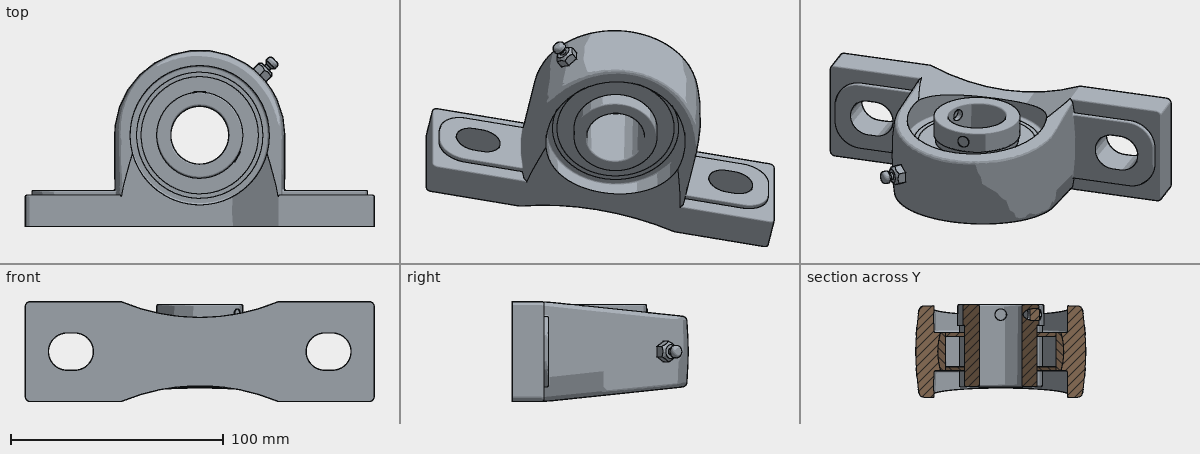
import cadquery as cq
import math


base_length = 164.0
base_depth = 47.0
base_bottom = -43.0
base_height = 15.0
base_top = base_bottom + base_height
base_corner_radius = 2.5
base_edge_radius = 1.0

slot_spacing = 121.0
slot_length = 21.0
slot_width = 17.4
pad_end = 78.9
pad_depth = 33.1
pad_height = 2.1
pad_corner_radius = 12.5
pad_edge_radius = 0.8
pad_blend_radius = 0.7

arch_radius = 40.0
crown_radius = 128.0
arch_taper_angle = 6.0
arch_edge_radius = 2.5
arch_sink = 1.6

waist_radius = 95.1
waist_half_depth = 16.0
waist_mouth_radius = 2.6

recess_diameter = 65.5
recess_corner_radius = 1.0

outer_ring_diameter = 62.0
outer_ring_width = 18.0
seal_outer_diameter = 55.1
seal_thickness = 2.0
collar_diameter = 40.5
inner_ring_neck_diameter = 39.0
bore_diameter = 27.0
inner_ring_top = 22.1
inner_ring_bottom = -16.5
collar_height = 9.8
inner_ring_edge_radius = 0.8
bore_edge_radius = 1.0

screw_diameter = 5.4
screw_height = 17.4
screw_angles = (-30.0, 90.0)
screw_inner_radius = 16.4
screw_outer_radius = 20.5

nipple_angle = 45.0
nipple_foot = 39.0
hex_shoulder = 43.0
hex_end = 44.6
head_start = 45.8
head_waist = 47.0
head_shoulder = 48.4
head_end = 49.9
hex_width = 8.5
neck_diameter = 3.3
head_diameter = 5.9
tip_diameter = 3.0

half_depth = base_depth / 2
pad_top = base_top + pad_height
floor_height = outer_ring_width / 2


def make_foot():
    foot = (
        cq.Workplane("XY")
        .box(base_length, base_height, base_depth)
        .translate((0, base_bottom + base_height / 2, 0))
    )
    foot = foot.edges("|Y").fillet(base_corner_radius)
    return foot.faces(">Y").edges().fillet(base_edge_radius)


def make_pad(side):
    pad = (
        cq.Workplane("XY")
        .box(pad_end, pad_top - base_bottom, pad_depth)
        .translate((side * pad_end / 2, (pad_top + base_bottom) / 2, 0))
    )
    outer_end = ">X" if side > 0 else "<X"
    pad = pad.faces(outer_end).edges("|Y").fillet(pad_corner_radius)
    return pad.faces(">Y").edges().fillet(pad_edge_radius)


def make_slots():
    """Cutters for the two bolt slots, right through the foot and the pads."""
    return (
        cq.Workplane("XZ", origin=(0, base_bottom, 0))
        .pushPoints([(-slot_spacing / 2, 0), (slot_spacing / 2, 0)])
        .slot2D(slot_length, slot_width)
        .extrude(base_bottom)
    )


def make_arch():
    """Crowned wall, round above the bearing centre and straight below, tapering in depth upwards."""
    arch_bottom = base_top - arch_sink
    reach = half_depth + arch_sink
    crown_edge = arch_radius - crown_radius + math.sqrt(crown_radius**2 - reach**2)

    def half_section():
        return (
            cq.Workplane("XZ")
            .moveTo(0, -reach)
            .lineTo(crown_edge, -reach)
            .threePointArc((arch_radius, 0), (crown_edge, reach))
            .lineTo(0, reach)
            .close()
        )

    leg = half_section().extrude(-arch_bottom)
    legs = leg.union(leg.mirror("YZ"))
    dome = half_section().revolve(180, (0, 0, 0), (0, 1, 0))

    slope = math.tan(math.radians(arch_taper_angle))
    lower_half = half_depth + slope * arch_sink
    upper_half = half_depth - slope * (arch_radius + arch_sink - base_top)
    arch_top = arch_radius + arch_sink
    wedge = (
        cq.Workplane("YZ", origin=(-base_length / 2, 0, 0))
        .polyline(
            [
                (arch_bottom, -lower_half),
                (arch_top, -upper_half),
                (arch_top, upper_half),
                (arch_bottom, lower_half),
            ]
        )
        .close()
        .extrude(base_length)
    )
    arch = legs.union(dome).intersect(wedge)
    arch = arch.faces(">Z or <Z").edges("not <Y").fillet(arch_edge_radius)
    return arch.intersect(cq.Workplane("XY").box(base_length, base_length, base_depth))


def make_waist():
    """Cutter for one side: a shallow cylinder along Y with its mouth rounded over."""
    axis_height = waist_half_depth + waist_radius
    mouth_center_z = half_depth - waist_mouth_radius
    center_distance = waist_radius + waist_mouth_radius
    drop = axis_height - mouth_center_z
    mouth_center_x = math.sqrt(center_distance**2 - drop**2)

    blend_x = mouth_center_x * waist_radius / center_distance
    blend_z = axis_height - drop * waist_radius / center_distance
    lean = math.atan2(mouth_center_x, drop) / 2
    middle_x = mouth_center_x - waist_mouth_radius * math.sin(lean)
    middle_z = mouth_center_z + waist_mouth_radius * math.cos(lean)
    return (
        cq.Workplane("XZ")
        .moveTo(-mouth_center_x, half_depth)
        .threePointArc((-middle_x, middle_z), (-blend_x, blend_z))
        .threePointArc((0, waist_half_depth), (blend_x, blend_z))
        .threePointArc((middle_x, middle_z), (mouth_center_x, half_depth))
        .lineTo(mouth_center_x, base_depth)
        .lineTo(-mouth_center_x, base_depth)
        .close()
        .extrude(-base_bottom)
    )


def make_recess():
    """Cutter above the bearing floor, with a rounded corner at its foot."""
    return (
        cq.Workplane("XY", origin=(0, 0, floor_height))
        .circle(recess_diameter / 2)
        .extrude(base_depth)
        .faces("<Z")
        .edges()
        .fillet(recess_corner_radius)
    )


def blend_pads(housing):
    """Round the inside corners where the pad tops run into the arch wall."""
    zone_half_length = arch_radius + pad_blend_radius
    corner_zone = cq.selectors.BoxSelector(
        (-zone_half_length, pad_top - pad_blend_radius / 2, -pad_depth / 2),
        (zone_half_length, pad_top + pad_blend_radius / 2, pad_depth / 2),
    )
    return housing.edges(corner_zone).fillet(pad_blend_radius)


def make_housing(nipple):
    housing = make_foot().union(make_arch())
    for side in (-1, 1):
        housing = housing.union(make_pad(side))
    housing = blend_pads(housing)
    housing = housing.cut(make_slots())
    for cutter in (make_waist(), make_recess()):
        housing = housing.cut(cutter).cut(cutter.mirror("XY"))
    return housing.cut(cq.Workplane("XY").sphere(outer_ring_diameter / 2)).cut(nipple)


def make_outer_ring():
    slab = cq.Workplane("XY").box(base_length, base_length, outer_ring_width)
    ring = cq.Workplane("XY").sphere(outer_ring_diameter / 2).intersect(slab)
    bore = cq.Workplane("XY").circle(seal_outer_diameter / 2).extrude(base_depth, both=True)
    return ring.cut(bore)


def make_seal(bottom):
    return (
        cq.Workplane("XY", origin=(0, 0, bottom))
        .circle(seal_outer_diameter / 2)
        .circle(inner_ring_neck_diameter / 2)
        .extrude(seal_thickness)
    )


def make_screw(angle):
    screw = (
        cq.Workplane("YZ", origin=(screw_inner_radius, 0, screw_height))
        .circle(screw_diameter / 2)
        .extrude(screw_outer_radius - screw_inner_radius)
    )
    return screw.rotate((0, 0, 0), (0, 0, 1), angle)


def make_screw_hole(angle):
    hole = (
        cq.Workplane("YZ", origin=(0, 0, screw_height))
        .circle(screw_diameter / 2)
        .extrude(collar_diameter)
    )
    return hole.rotate((0, 0, 0), (0, 0, 1), angle)


def make_inner_ring():
    neck = (
        cq.Workplane("XY", origin=(0, 0, inner_ring_bottom))
        .circle(inner_ring_neck_diameter / 2)
        .extrude(inner_ring_top - inner_ring_bottom)
    )
    collar = (
        cq.Workplane("XY", origin=(0, 0, inner_ring_top))
        .circle(collar_diameter / 2)
        .extrude(-collar_height)
    )
    bore = cq.Workplane("XY").circle(bore_diameter / 2).extrude(base_depth, both=True)
    ring = neck.union(collar)
    ring = ring.faces(">Z or <Z").edges().fillet(inner_ring_edge_radius).cut(bore)
    bore_rims = ring.faces(">Z or <Z").edges(cq.selectors.RadiusNthSelector(0))
    ring = bore_rims.fillet(bore_edge_radius)
    for angle in screw_angles:
        ring = ring.cut(make_screw_hole(angle))
    return ring


def make_nipple():
    hex_blank = (
        cq.Workplane("YZ", origin=(nipple_foot, 0, 0))
        .polygon(6, hex_width, circumscribed=True)
        .extrude(hex_end - nipple_foot)
    )
    hex_corner_radius = hex_width / math.sqrt(3)
    hex_envelope = (
        cq.Workplane("XY")
        .polyline(
            [
                (nipple_foot, 0),
                (nipple_foot, hex_corner_radius),
                (hex_shoulder, hex_corner_radius),
                (hex_end, hex_corner_radius + hex_shoulder - hex_end),
                (hex_end, 0),
            ]
        )
        .close()
        .revolve(360, (0, 0, 0), (1, 0, 0))
    )
    stem = (
        cq.Workplane("XY")
        .moveTo(hex_shoulder, 0)
        .lineTo(hex_shoulder, neck_diameter / 2)
        .lineTo(head_start, neck_diameter / 2)
        .lineTo(head_waist, head_diameter / 2)
        .lineTo(head_shoulder, head_diameter / 2)
        .tangentArcPoint((head_end, tip_diameter / 2), relative=False)
        .lineTo(head_end, 0)
        .close()
        .revolve(360, (0, 0, 0), (1, 0, 0))
    )
    nipple = hex_blank.intersect(hex_envelope).union(stem)
    return nipple.rotate((0, 0, 0), (0, 0, 1), nipple_angle)


nipple = make_nipple()
housing = make_housing(nipple)
outer_ring = make_outer_ring()
inner_ring = make_inner_ring()
seals = [make_seal(bottom) for bottom in (floor_height - seal_thickness, -floor_height)]
screws = [make_screw(angle) for angle in screw_angles]

bodies = [housing, outer_ring, inner_ring, nipple] + seals + screws
result = cq.Compound.makeCompound([body.val() for body in bodies])